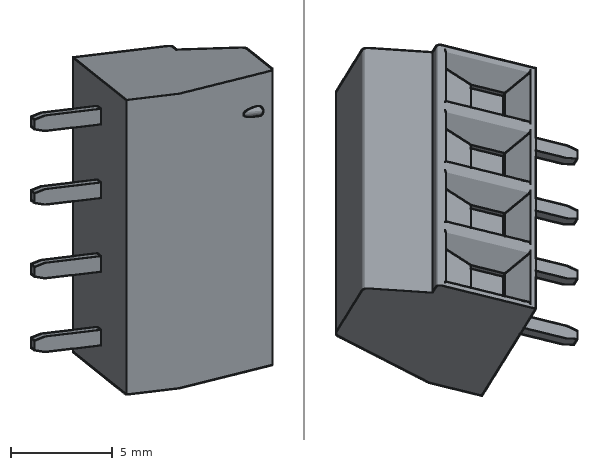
import cadquery as cq
import math

pole_count = 4
pole_pitch = 3.81
body_length = pole_count * pole_pitch
body_width = 7.3
body_height = 8.49

entry_x = -body_width / 2
back_x = body_width / 2

ledge_height = 5.2
ledge_depth = 0.69
top_left_inset = 1.58
top_right_inset = 1.83
back_slope_start = 2.79
top_radius = 0.3
ledge_radius = 0.2

funnel_bottom = 0.29
funnel_top_wall = 4.7
funnel_depth = 1.1
funnel_mouth_width = 3.14
ceiling_angle = 15.0
ceiling_radius = 0.41
top_mouth_radius = 0.15
side_mouth_radius = 0.25

clamp_bottom = 1.2
clamp_top = 3.0
clamp_width = 1.6
clamp_depth = 1.35

pin_length = 3.5
pin_thickness = 0.5
pin_width = 0.81
pin_tip_width = 0.5
pin_taper_length = 0.55
pin_x = -0.06

marker_radius = 0.26
marker_x = 2.15
marker_tip = 7.79


def pole_centers():
    return [(i - (pole_count - 1) / 2) * pole_pitch for i in range(pole_count)]


def make_housing():
    outline = [
        (entry_x, 0),
        (back_x, 0),
        (back_x, back_slope_start),
        (back_x - top_right_inset, body_height),
        (entry_x + top_left_inset, body_height),
        (entry_x + ledge_depth, ledge_height),
        (entry_x, ledge_height),
    ]
    housing = cq.Workplane("XY").polyline(outline).close().extrude(body_length / 2, both=True)
    housing = housing.edges("|Z and >Y").fillet(top_radius)
    ledge_edge = cq.selectors.NearestToPointSelector((entry_x, ledge_height, 0))
    return housing.edges(ledge_edge).fillet(ledge_radius)


def make_funnel_section():
    """Funnel profile in the XY plane, long enough along Z to be trimmed to the funnel's sides."""
    tilt = math.radians(ceiling_angle)
    corner_depth = funnel_depth - (funnel_top_wall - clamp_top) * math.tan(tilt)
    tangent = ceiling_radius * math.tan((math.pi / 2 - tilt) / 2)
    arc_start = (entry_x + corner_depth - tangent, funnel_top_wall)
    arc_end = (
        entry_x + corner_depth + tangent * math.sin(tilt),
        funnel_top_wall - tangent * math.cos(tilt),
    )
    return (
        cq.Workplane("XY")
        .moveTo(entry_x, funnel_bottom)
        .lineTo(entry_x + funnel_depth, clamp_bottom)
        .lineTo(entry_x + funnel_depth, clamp_top)
        .lineTo(*arc_end)
        .radiusArc(arc_start, -ceiling_radius)
        .lineTo(entry_x + top_mouth_radius, funnel_top_wall)
        .radiusArc((entry_x, funnel_top_wall + top_mouth_radius), top_mouth_radius)
        .close()
        .extrude(pole_pitch / 2, both=True)
    )


def make_funnel_sides():
    """Funnel profile in the XZ plane: two sloped sides with rounded mouth edges."""
    half_mouth = funnel_mouth_width / 2
    half_clamp = clamp_width / 2
    turn = math.atan2(funnel_depth, half_mouth - half_clamp)
    tangent = side_mouth_radius * math.tan(turn / 2)
    round_depth = tangent * math.sin(turn)
    round_half = half_mouth - tangent * math.cos(turn)
    mouth_half = half_mouth + tangent
    return (
        cq.Workplane("XZ")
        .moveTo(entry_x, -mouth_half)
        .radiusArc((entry_x + round_depth, -round_half), side_mouth_radius)
        .lineTo(entry_x + funnel_depth, -half_clamp)
        .lineTo(entry_x + funnel_depth, half_clamp)
        .lineTo(entry_x + round_depth, round_half)
        .radiusArc((entry_x, mouth_half), side_mouth_radius)
        .close()
        .extrude(-body_height)
    )


def make_wire_entry():
    clamp = cq.Workplane("XY").box(
        clamp_depth, clamp_top - clamp_bottom, clamp_width, centered=(False, False, True)
    )
    clamp = clamp.translate((entry_x, clamp_bottom, 0))
    return make_funnel_section().intersect(make_funnel_sides()).union(clamp)


def make_pin():
    half_width = pin_width / 2
    half_tip = pin_tip_width / 2
    taper_start = pin_taper_length - pin_length
    outline = [
        (0, -half_width),
        (taper_start, -half_width),
        (-pin_length, -half_tip),
        (-pin_length, half_tip),
        (taper_start, half_width),
        (0, half_width),
    ]
    pin = cq.Workplane("YZ").polyline(outline).close().extrude(pin_thickness / 2, both=True)
    return pin.translate((pin_x, 0, 0))


def make_marker():
    """Pin along Y with a hemispherical upper end, sunk into the sloped back face."""
    dome_y = marker_tip - marker_radius
    shank = cq.Workplane("XZ").circle(marker_radius).extrude(dome_y - back_slope_start)
    dome = cq.Workplane("XY").sphere(marker_radius)
    return shank.union(dome).translate((marker_x, dome_y, 0))


result = make_housing()
wire_entry = make_wire_entry()
pin = make_pin()
for z in pole_centers():
    result = result.cut(wire_entry.translate((0, 0, z)))
    result = result.union(pin.translate((0, 0, z)))

result = result.union(make_marker().translate((0, 0, pole_centers()[-1])))